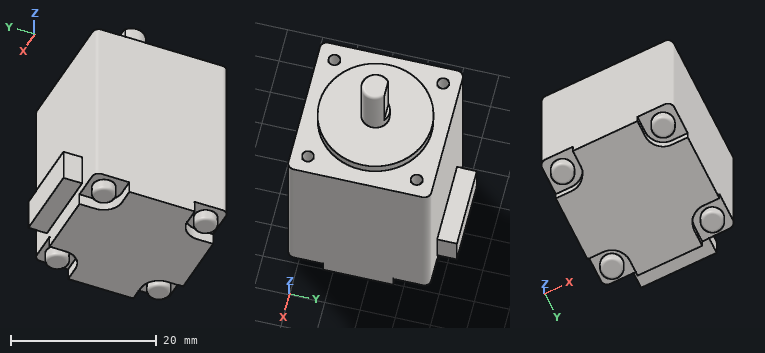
import cadquery as cq

housing_width = 20.3
housing_height = 28.0
corner_radius = 1.0

boss_diameter = 16.0
boss_height = 1.5
boss_top = housing_height + boss_height

hole_inset = 2.45
hole_offset = housing_width / 2 - hole_inset
hole_diameter = 1.65
hole_depth = 4.0
drill_tip_depth = hole_diameter / 4

recess_diameter = 5.5
recess_height = 1.75
recess_size = hole_inset + recess_diameter / 2
screw_head_diameter = 3.3
screw_head_fillet = 0.45
screw_head_gap = 0.08

connector_width = 11.63
connector_depth = 2.8
connector_base = 3.08
connector_height = 4.75

total_height = 38
shaft_diameter = 4.0
shaft_length = total_height - boss_top
shaft_end_round = 0.5
flat_offset = 1.52
round_base_length = 1.52
flat_start = boss_top + round_base_length

corners = [(side_x, side_y) for side_x in (-1, 1) for side_y in (-1, 1)]


def make_corner_recess(side_x, side_y):
    """Square cutter flush with the housing sides, its inner corner rounded about the screw axis."""
    center = (housing_width - recess_size) / 2
    inner_face = ("<" if side_x > 0 else ">") + "X"
    inner_edge = ("<" if side_y > 0 else ">") + "Y"
    return (
        cq.Workplane("XY")
        .center(side_x * center, side_y * center)
        .rect(recess_size, recess_size)
        .extrude(recess_height)
        .faces(inner_face)
        .edges(inner_edge)
        .fillet(recess_diameter / 2)
    )


def make_screw_head(side_x, side_y):
    """Round screw head hanging from the roof of a corner recess."""
    return (
        cq.Workplane("XY", origin=(side_x * hole_offset, side_y * hole_offset, screw_head_gap))
        .circle(screw_head_diameter / 2)
        .extrude(recess_height - screw_head_gap)
        .faces("<Z")
        .edges()
        .fillet(screw_head_fillet)
    )


def make_mounting_hole(side_x, side_y):
    """Blind drilled hole with a conical tip, cut down from the front face."""
    radius = hole_diameter / 2
    return (
        cq.Workplane("XZ")
        .lineTo(radius, 0)
        .lineTo(radius, -hole_depth)
        .lineTo(0, -hole_depth - drill_tip_depth)
        .close()
        .revolve(360, (0, 0, 0), (0, 1, 0))
        .translate((side_x * hole_offset, side_y * hole_offset, housing_height))
    )


def make_housing():
    """Square motor case with boss, connector, corner recesses, screw heads and mounting holes."""
    body = (
        cq.Workplane("XY")
        .rect(housing_width, housing_width)
        .extrude(housing_height)
        .edges("|Z")
        .fillet(corner_radius)
    )
    boss = (
        cq.Workplane("XY", origin=(0, 0, housing_height))
        .circle(boss_diameter / 2)
        .extrude(boss_height)
    )
    connector = cq.Workplane("XY").box(
        connector_width, connector_depth, connector_height, centered=(True, False, False)
    ).translate((0, housing_width / 2, connector_base))
    body = body.union(boss).union(connector)
    for side_x, side_y in corners:
        body = body.cut(make_corner_recess(side_x, side_y))
        body = body.union(make_screw_head(side_x, side_y))
        body = body.cut(make_mounting_hole(side_x, side_y))
    return body


def make_shaft():
    """Shaft standing on the boss, rounded at its end, with a flat above a short full-round base."""
    shaft = (
        cq.Workplane("XY", origin=(0, 0, boss_top))
        .circle(shaft_diameter / 2)
        .extrude(shaft_length)
        .faces(">Z")
        .edges()
        .fillet(shaft_end_round)
    )
    flat_cutter = cq.Workplane("XY").box(
        shaft_diameter, shaft_diameter, total_height - flat_start, centered=(True, False, False)
    ).translate((0, flat_offset, flat_start))
    return shaft.cut(flat_cutter)


housing = make_housing()
shaft = make_shaft()

result = cq.Compound.makeCompound([housing.val(), shaft.val()])